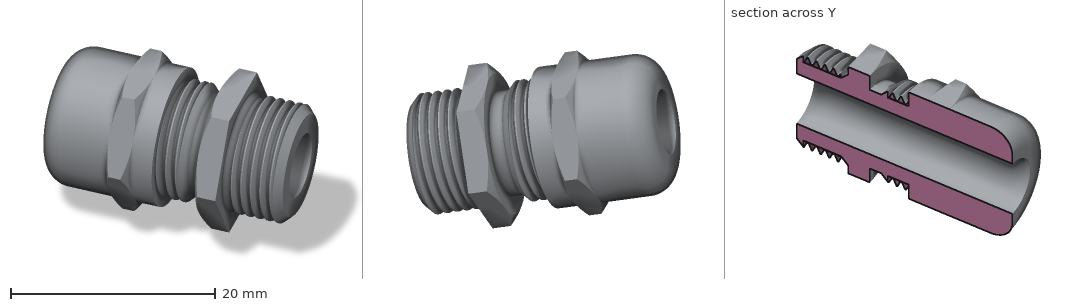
import cadquery as cq
import math


cap_diameter = 14.0
bore_diameter = 6.5
core_diameter = 10.38
thread_diameter = 12.0
thread_root_diameter = 10.52

total_length = 25.0
cap_length = 12.0
cap_hex_start = 7.25
front_thread_end = 14.38
body_hex_start = 16.5

cap_dome_radius = 2.5
hex_width = 2.5
hex_across_flats = cap_diameter
hex_across_corners = hex_across_flats / math.cos(math.radians(30))
hex_chamfer_angle = 30.0

cone_length = (thread_diameter - core_diameter) / 2
body_hex_end = body_hex_start + hex_width
rear_thread_start = body_hex_end + cone_length
rear_thread_end = total_length - cone_length

thread_pitch = 1.0
crest_width = 0.12
ridge_base_width = 0.85
ridge_embed = 0.05


def cylinder(start, length, diameter):
    """Solid cylinder along X."""
    return cq.Workplane("YZ", origin=(start, 0, 0)).circle(diameter / 2).extrude(length)


def cone(start, start_diameter, end_diameter, length):
    """Solid truncated cone along X."""
    return cq.Workplane(cq.Solid.makeCone(
        start_diameter / 2, end_diameter / 2, length, cq.Vector(start, 0, 0), cq.Vector(1, 0, 0)
    ))


def hexagon(start, chamfer_rear):
    """Hexagon with corners on Y, its corners chamfered conically at the front and optionally the rear."""
    prism = cq.Workplane("YZ", origin=(start, 0, 0)).polygon(6, hex_across_corners).extrude(hex_width)
    corner_radius = hex_across_corners / 2
    flat_radius = hex_across_flats / 2
    chamfer_length = (corner_radius - flat_radius) * math.tan(math.radians(hex_chamfer_angle))
    end = start + hex_width
    outline = cq.Workplane("XY").moveTo(start, 0).lineTo(start, flat_radius)
    outline = outline.lineTo(start + chamfer_length, corner_radius)
    if chamfer_rear:
        outline = outline.lineTo(end - chamfer_length, corner_radius).lineTo(end, flat_radius)
    else:
        outline = outline.lineTo(end, corner_radius)
    envelope = outline.lineTo(end, 0).close().revolve(360, (0, 0, 0), (1, 0, 0))
    return prism.intersect(envelope)


def make_gland():
    """Domed cap, core, hexagons and cones, with the cable bore through all of them."""
    gland = cylinder(0, cap_length, cap_diameter).faces("<X").edges().fillet(cap_dome_radius)
    gland = gland.union(cylinder(cap_length, total_length - cap_length, core_diameter))
    gland = gland.union(hexagon(cap_hex_start, chamfer_rear=True))
    gland = gland.union(hexagon(body_hex_start, chamfer_rear=False))
    for cone_start in (front_thread_end, body_hex_end, rear_thread_end):
        gland = gland.union(cone(cone_start, thread_diameter, core_diameter, cone_length))
    return gland.cut(cylinder(0, total_length, bore_diameter))


def make_thread(start, end):
    """Right-handed threaded sleeve around the core; its crest reaches the rear end at -Z."""
    length = end - start
    turns = math.ceil(length / thread_pitch) + 2
    helix_length = turns * thread_pitch
    overrun = 3 * thread_pitch
    base_radius = thread_root_diameter / 2 - ridge_embed
    crest_radius = thread_diameter / 2

    helix = cq.Wire.makeHelix(thread_pitch, helix_length, base_radius)
    ridge = (
        cq.Workplane("XZ")
        .moveTo(base_radius, -ridge_base_width / 2)
        .lineTo(crest_radius, -crest_width / 2)
        .lineTo(crest_radius, crest_width / 2)
        .lineTo(base_radius, ridge_base_width / 2)
        .close()
        .sweep(cq.Workplane(helix), isFrenet=True)
    )
    ridge = ridge.rotate((0, 0, 0), (0, 1, 0), 90)
    ridge = ridge.translate((end + thread_pitch - helix_length, 0, 0))

    rod = cylinder(start - overrun, length + 2 * overrun, thread_root_diameter).union(ridge)
    trimming_ring = cylinder(start, length, cap_diameter).cut(cylinder(start, length, core_diameter))
    return rod.intersect(trimming_ring)


gland = make_gland()
thread_spans = [(cap_length, front_thread_end), (rear_thread_start, rear_thread_end)]
threads = [make_thread(start, end) for start, end in thread_spans]

result = cq.Compound.makeCompound([gland.val(), *[thread.val() for thread in threads]])